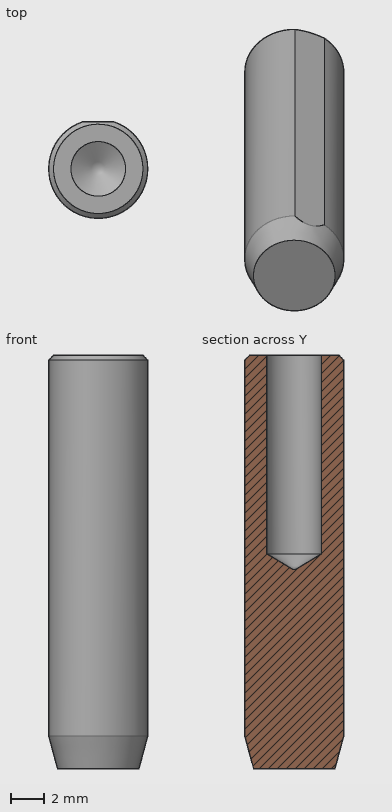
import cadquery as cq
import math

pin_diameter = 6.0
pin_length = 25.0
pin_radius = pin_diameter / 2

taper_length = 2.0
taper_angle = 15.0
base_radius = pin_radius - taper_length * math.tan(math.radians(taper_angle))

rim_chamfer = 0.3

hole_diameter = 3.3
hole_depth = 12.0
drill_point_angle = 118.0
hole_radius = hole_diameter / 2
hole_floor = pin_length - hole_depth
drill_point_depth = hole_radius / math.tan(math.radians(drill_point_angle / 2))

flat_depth = 0.15


def revolve_about_z(profile_points):
    """Solid of revolution from (radius, height) points."""
    profile = cq.Workplane("XZ").polyline(profile_points).close()
    return profile.revolve(360, (0, 0, 0), (0, 1, 0))


def make_body():
    return revolve_about_z(
        [
            (0, 0),
            (base_radius, 0),
            (pin_radius, taper_length),
            (pin_radius, pin_length - rim_chamfer),
            (pin_radius - rim_chamfer, pin_length),
            (0, pin_length),
        ]
    )


def make_hole():
    return revolve_about_z(
        [
            (0, hole_floor - drill_point_depth),
            (hole_radius, hole_floor),
            (hole_radius, pin_length),
            (0, pin_length),
        ]
    )


def make_flat_cutter():
    cutter = cq.Workplane("XY").box(pin_diameter, flat_depth, pin_length, centered=(True, False, False))
    return cutter.translate((0, pin_radius - flat_depth, 0))


result = make_body().cut(make_hole()).cut(make_flat_cutter())